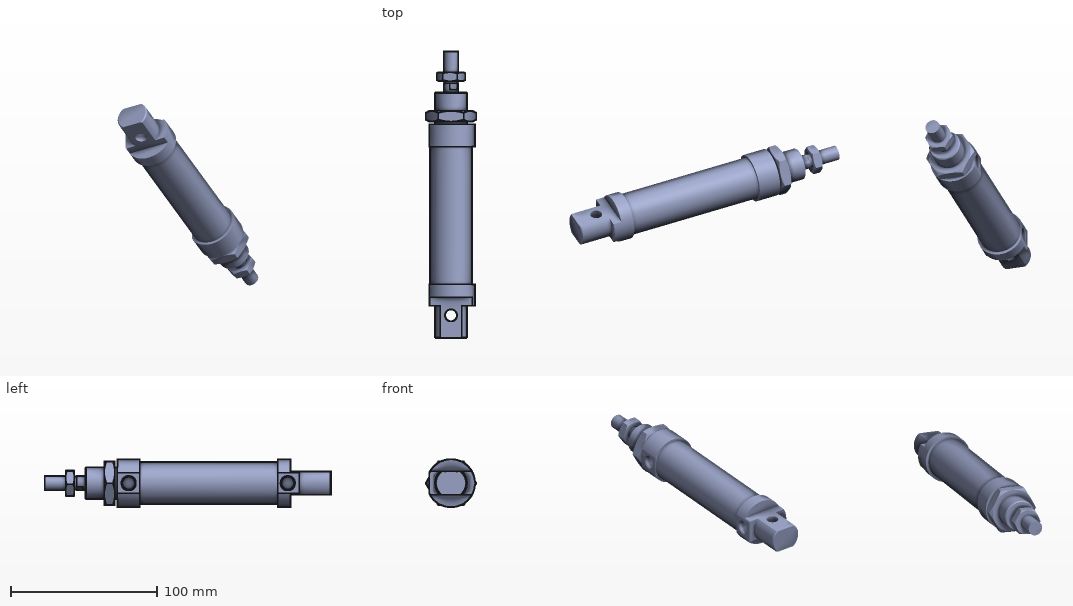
import cadquery as cq
import math


cap_diameter = 33.0
tube_diameter = 29.0
nose_diameter = 22.0
end_chamfer = 0.69
tongue_thickness = 16.0
tongue_end = 22.0
block_end = 27.8
rear_cap_end = 36.7
front_cap_start = 131.0
front_cap_end = 146.2
nose_end = 168.2
eye_diameter = 8.0
eye_position = 15.5

port_face_offset = 14.9
port_diameter = 8.6
port_mouth_diameter = 10.0
port_depth = 7.8
port_mouth_depth = (port_mouth_diameter - port_diameter) / 2
front_port_position = (front_cap_start + front_cap_end) / 2
rear_port_position = 29.8

rod_tip = 196
rod_diameter = 10.0
neck_diameter = 9.2
neck_start = 174.0
wrench_flat_width = 8.0
wrench_flat_start = 169.7
wrench_flat_corner = 1.2
rod_twist = 4

lock_nut_start = 175.6
lock_nut_height = 6.0
lock_nut_width = 17.0
lock_nut_countersink = 0.8
neck_end = lock_nut_start + lock_nut_countersink

mount_nut_start = 148.0
mount_nut_height = 7.3
mount_nut_width = 30.0

nut_chamfer_angle = 30


def shaft(diameter, start, end):
    """Round bar along Y between two positions."""
    plane = cq.Workplane("XZ", origin=(0, start, 0))
    return plane.circle(diameter / 2).extrude(start - end)


def port_cutter(position):
    """Blind port entering from -X, with a countersunk mouth."""
    bottom = port_face_offset - port_depth
    mouth = port_face_offset - port_mouth_depth
    return (
        cq.Workplane("XY", origin=(0, position, 0))
        .moveTo(-bottom, 0)
        .lineTo(-bottom, port_diameter / 2)
        .lineTo(-mouth, port_diameter / 2)
        .lineTo(-port_face_offset, port_mouth_diameter / 2)
        .lineTo(-port_face_offset, 0)
        .close()
        .revolve(360, (0, 0, 0), (1, 0, 0))
    )


def flatten_port_side(body, start, end):
    """Cut the flat that faces -X on a cap."""
    cutter = cq.Workplane("XY").box(
        cap_diameter, end - start, 2 * cap_diameter, centered=(True, False, True)
    )
    return body.cut(cutter.translate((-port_face_offset - cap_diameter / 2, start, 0)))


def make_housing():
    tongue = shaft(nose_diameter, 0, tongue_end).faces("<Y").chamfer(end_chamfer)
    block = shaft(cap_diameter, tongue_end, block_end)
    slab = cq.Workplane("XY").box(
        cap_diameter, block_end, tongue_thickness, centered=(True, False, True)
    )
    eye_end = tongue.union(block).intersect(slab)

    nose = shaft(nose_diameter, front_cap_end, nose_end).faces(">Y").chamfer(end_chamfer)
    body = (
        eye_end
        .union(shaft(cap_diameter, block_end, rear_cap_end))
        .union(shaft(tube_diameter, rear_cap_end, front_cap_start))
        .union(shaft(cap_diameter, front_cap_start, front_cap_end))
        .union(nose)
    )
    body = flatten_port_side(body, tongue_end, rear_cap_end)
    body = flatten_port_side(body, front_cap_start, front_cap_end)
    for position in (rear_port_position, front_port_position):
        body = body.cut(port_cutter(position))

    eye = (
        cq.Workplane("XY", origin=(0, eye_position, 0))
        .circle(eye_diameter / 2)
        .extrude(tongue_thickness, both=True)
    )
    rod_bore = shaft(rod_diameter, front_cap_start, nose_end)
    return body.cut(eye).cut(rod_bore)


def make_rod():
    rod = shaft(rod_diameter, front_cap_start, neck_start)
    flat_chord = math.sqrt(rod_diameter**2 - wrench_flat_width**2)
    flat_length = neck_start - wrench_flat_start
    flat_cutter = (
        cq.Workplane("XY")
        .box(flat_chord, flat_length, rod_diameter, centered=(True, False, False))
        .edges("|Z and <Y")
        .fillet(wrench_flat_corner)
        .translate((0, wrench_flat_start, wrench_flat_width / 2))
    )
    corner_angle = 30
    for turn in (0, 180):
        angle = turn + corner_angle - rod_twist
        rod = rod.cut(flat_cutter.rotate((0, 0, 0), (0, 1, 0), angle))
    return (
        rod
        .union(shaft(neck_diameter, neck_start, neck_end))
        .union(shaft(rod_diameter, neck_end, rod_tip))
    )


def make_nut(width, height, bore_diameter, start):
    """Hexagon nut with corners on +X and -X and conical chamfers on both faces."""
    corner_radius = width / 2 / math.cos(math.radians(30))
    cone_drop = (corner_radius - width / 2) * math.tan(math.radians(nut_chamfer_angle))
    hexagon = cq.Workplane("XZ").polygon(6, 2 * corner_radius).extrude(-height)
    chamfer_envelope = (
        cq.Workplane("XY")
        .polyline([
            (0, 0),
            (width / 2, 0),
            (corner_radius, cone_drop),
            (corner_radius, height - cone_drop),
            (width / 2, height),
            (0, height),
        ])
        .close()
        .revolve(360, (0, 0, 0), (0, 1, 0))
    )
    nut = hexagon.intersect(chamfer_envelope).translate((0, start, 0))
    return nut.cut(shaft(bore_diameter, start, start + height))


def make_lock_nut():
    nut = make_nut(lock_nut_width, lock_nut_height, rod_diameter, lock_nut_start)
    bore_edge = cq.selectors.RadiusNthSelector(0)
    nut = nut.faces("<Y").edges(bore_edge).chamfer(lock_nut_countersink)
    return nut.rotate((0, 0, 0), (0, 1, 0), -rod_twist)


housing = make_housing()
rod = make_rod()
lock_nut = make_lock_nut()
mount_nut = make_nut(mount_nut_width, mount_nut_height, nose_diameter, mount_nut_start)

result = cq.Compound.makeCompound([
    housing.val(),
    rod.val(),
    lock_nut.val(),
    mount_nut.val(),
])